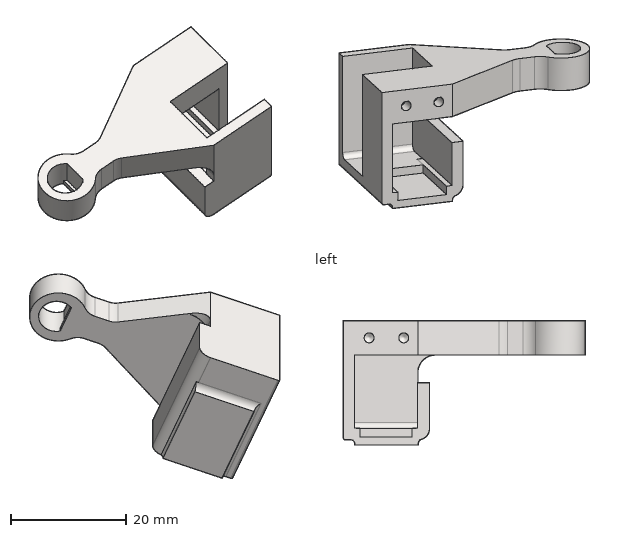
import cadquery as cq
import math

width = 22.0
length = 42.05
height = 21.6

channel_depth = 15.0
wall = 1.98
lip_inner_y = -12.9
lip_top_z = 10.85
floor_z = 2.9
side_wall_depth = 13.0
back_wall_width = 10.0
floor_fillet = 1.0
gusset_radius = 3.0
back_edge_radius = 0.38

pad_height = 0.9
pad_end_x = 3.95
pad_cove = 0.67
pad_front_y = -13.07
pad_front_run = 0.35
pad_front_join_z = 0.92
pad_end_radius = 1.7

pocket_floor_z = 1.4
pocket_end_x = 0.92
ledge_end_x = 4.0
ledge_width = 0.95
ledge_rise = 0.1

arm_thickness = 6.0
neck_width = 5.0
neck_start_y = -27.75
neck_fillet = 3.0
ring_fillet = 3.0
ring_radius = 5.0
bore_radius = 3.1
ring_wall_front = 1.55
flat_y = -35.15
step_y = -35.65
step_height = 1.0

hole_diameter = 1.72
hole_depth = 3.0
hole_positions_y = (-4.5, -10.5)
drill_tip_angle = 118.0

left_x = -width / 2
right_x = width / 2
side_wall_x = right_x - wall
arm_bottom_z = height - arm_thickness
ring_y = ring_radius - length
bore_y = bore_radius + ring_wall_front - length


def box(x0, x1, y0, y1, z0, z1):
    """Block between two opposite corners."""
    return cq.Workplane("XY").box(x1 - x0, y1 - y0, z1 - z0, centered=False).translate((x0, y0, z0))


def along_x(x0):
    """Plane for YZ profiles that are extruded toward +X from x0."""
    return cq.Workplane("YZ", origin=(x0, 0, 0))


def arm_outline():
    """Tapered plate, neck and ring, filleted where they meet."""
    half_neck = neck_width / 2
    plate = (
        cq.Workplane("XY", origin=(0, 0, arm_bottom_z))
        .moveTo(left_x, 0)
        .lineTo(right_x, 0)
        .lineTo(right_x, -side_wall_depth)
        .lineTo(half_neck, neck_start_y)
        .lineTo(half_neck, ring_y)
        .lineTo(-half_neck, ring_y)
        .lineTo(-half_neck, neck_start_y)
        .lineTo(left_x, -side_wall_depth)
        .close()
        .extrude(arm_thickness)
    )
    ring = cq.Workplane("XY", origin=(0, ring_y, arm_bottom_z)).circle(ring_radius).extrude(arm_thickness)
    arm = plate.union(ring)
    ring_join_y = ring_y + math.sqrt(ring_radius**2 - half_neck**2)
    for join_y, radius in ((neck_start_y, neck_fillet), (ring_join_y, ring_fillet)):
        for side in (-1, 1):
            near_edge = cq.selectors.BoxSelector(
                (side * half_neck - 0.4, join_y - 0.4, arm_bottom_z),
                (side * half_neck + 0.4, join_y + 0.4, height),
            )
            arm = arm.edges("|Z").edges(near_edge).fillet(radius)
    return arm


def bore():
    """D-shaped bore with a shallow step at the bottom of its flat."""
    cylinder = cq.Workplane("XY", origin=(0, bore_y, arm_bottom_z)).circle(bore_radius).extrude(arm_thickness)
    step_top_z = arm_bottom_z + step_height
    lower = box(left_x, right_x, -length, step_y, arm_bottom_z, step_top_z)
    upper = box(left_x, right_x, -length, flat_y, step_top_z, height)
    return cylinder.intersect(lower.union(upper))


def channel():
    """Channel base with front lip, back wall and +X side wall."""
    base = box(left_x, right_x, -channel_depth, 0, pad_height, floor_z)
    front_radius = floor_z - pad_height
    lip = box(left_x, right_x, -channel_depth, lip_inner_y, floor_z, lip_top_z)
    base = base.union(lip)
    base = base.edges("|X and <Y and <Z").fillet(front_radius)
    base = base.edges("|X and >Y and <Z").fillet(back_edge_radius)
    back_wall = box(left_x, left_x + back_wall_width, -wall, 0, floor_z, height)
    side_wall = box(side_wall_x, right_x, -side_wall_depth, 0, floor_z, height)
    return base.union(back_wall).union(side_wall)


def floor_corner():
    """Concave fillet between the floor and the +X side wall."""
    return (
        cq.Workplane("XZ", origin=(side_wall_x, 0, floor_z))
        .lineTo(-floor_fillet, 0)
        .radiusArc((0, floor_fillet), -floor_fillet)
        .close()
        .extrude(-lip_inner_y)
    )


def gusset():
    """Concave fillet joining the front of the side wall to the arm, within the taper."""
    corner = (
        along_x(side_wall_x)
        .moveTo(-side_wall_depth, arm_bottom_z)
        .lineTo(-side_wall_depth - gusset_radius, arm_bottom_z)
        .radiusArc((-side_wall_depth, arm_bottom_z - gusset_radius), gusset_radius)
        .close()
        .extrude(wall)
    )
    taper_shadow = arm_outline().translate((0, 0, -arm_thickness))
    return corner.intersect(taper_shadow)


def pad():
    """Raised pad with coved long sides and a coved +X end."""
    end_reach = math.sqrt(pad_end_radius**2 - (pad_end_radius - pad_height) ** 2)
    end_x = pad_end_x + end_reach
    profile = (
        along_x(left_x)
        .moveTo(-wall, 0)
        .lineTo(-wall, pad_height - pad_cove)
        .radiusArc((-wall + pad_cove, pad_height), pad_cove)
        .lineTo(-wall + pad_cove, floor_z / 2)
        .lineTo(pad_front_y - pad_front_run, floor_z / 2)
        .lineTo(pad_front_y - pad_front_run, pad_front_join_z)
        .radiusArc((pad_front_y, 0), pad_height)
        .close()
        .extrude(end_x - left_x)
    )
    end_cove = (
        cq.Workplane("XZ", origin=(end_x, 0, pad_height - pad_end_radius))
        .circle(pad_end_radius)
        .extrude(channel_depth)
    )
    return profile.cut(end_cove)


def ledge(outer_y, direction):
    """Slightly sloped ledge beside the pocket, highest at the wall."""
    return (
        along_x(left_x)
        .moveTo(outer_y, floor_z)
        .lineTo(outer_y, floor_z + ledge_rise)
        .lineTo(outer_y + direction * ledge_width, floor_z)
        .close()
        .extrude(ledge_end_x - left_x)
    )


def pocket():
    """Floor pocket between the ledges, open at the -X end."""
    return box(
        left_x, pocket_end_x, lip_inner_y + ledge_width, -wall - ledge_width, pocket_floor_z, floor_z
    )


def side_hole(y):
    """Blind hole with a conical tip, entering from the -X face."""
    radius = hole_diameter / 2
    tip = radius / math.tan(math.radians(drill_tip_angle / 2))
    centre_z = arm_bottom_z + arm_thickness / 2
    return (
        cq.Workplane("XY")
        .lineTo(0, radius)
        .lineTo(hole_depth, radius)
        .lineTo(hole_depth + tip, 0)
        .close()
        .revolve(360, (0, 0, 0), (1, 0, 0))
        .translate((left_x, y, centre_z))
    )


top_opening = box(left_x + back_wall_width, side_wall_x, lip_inner_y, 0, arm_bottom_z, height)

result = arm_outline().cut(bore()).cut(top_opening)
result = result.union(channel()).union(floor_corner()).union(gusset()).union(pad())
result = result.union(ledge(-wall, -1)).union(ledge(lip_inner_y, 1)).cut(pocket())
for hole_y in hole_positions_y:
    result = result.cut(side_hole(hole_y))